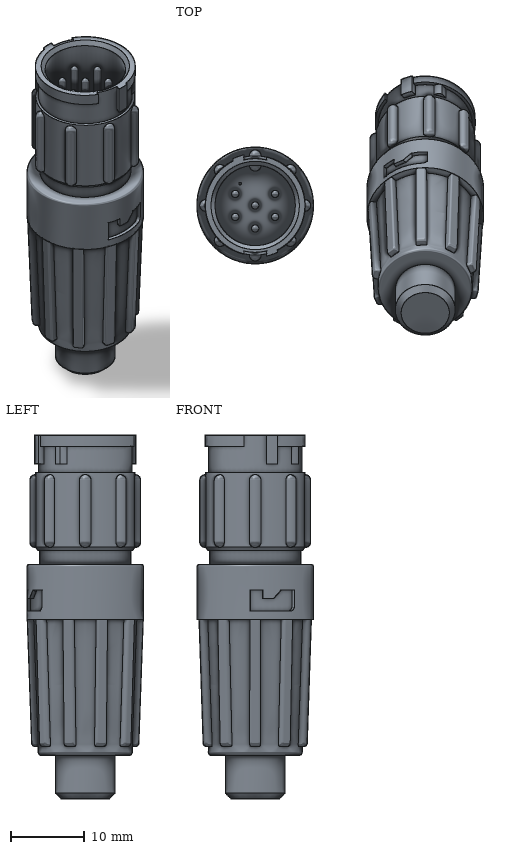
import cadquery as cq
import math

total_height = 49.8
cable_stem_top = 5.95
strain_sleeve_top = 24.55
collar_top = 32.1
barrel_bottom = 34.0
barrel_top = 44.7
flange_thickness = 1.55

cable_stem_radius = 4.1
cable_stem_chamfer = 0.8
sleeve_bottom_radius = 6.43
sleeve_top_radius = 7.1
sleeve_fillet = 0.45
collar_radius = 8.0
collar_fillet = 0.35
neck_radius = 6.25
barrel_radius = 6.8
barrel_chamfer_width = 0.3
barrel_chamfer_height = 0.45
tube_radius = 6.42
flange_radius = 6.85

bore_radius = 5.5
bore_depth = 9.0
bore_chamfer = 0.55
pin_radius = 0.5
pin_top_depth = 2.15
pin_circle_radius = 3.15
pin_circle_positions = 6
pin_root_length = 1.0
key_rod_radius = 0.8
key_rod_top_depth = 0.7
marker_hole_radius = 0.18
marker_hole_depth = 0.5
marker_hole_x = -2.06
marker_hole_y = 3.0

notch_half_width = 1.55
stop_width = 1.5
stop_radius = 7.1
stop_length = 3.95
side_lug_x = 5.9
side_lug_near_y = 2.4
side_lug_start = (4.95, 4.05)
side_lug_crest = (5.5, 3.84)
side_lug_end_y = 3.45

barrel_rib_count = 8
barrel_rib_radius = 0.8
barrel_rib_bottom = 34.4
barrel_rib_top = 44.4

sleeve_rib_count = 10
sleeve_rib_root_width = 1.58
sleeve_rib_outer_width = 1.4
sleeve_rib_bottom = 7.15
sleeve_rib_bottom_radius = 7.35
sleeve_rib_top_radius = 7.95
sleeve_rib_root_radius = 5.5
sleeve_rib_fillet = 0.3
sleeve_rib_end_radius = 0.5

recess_floor_radius = 7.5
recess_bottom = 25.7
recess_middle = 27.4
recess_top = 28.6
recess_left_x = -0.68
left_arm_right_x = 1.1
slope_bottom_x = 2.5
slope_top_x = 3.6
recess_right_x = 5.4
recess_corner_radius = 0.8

flange_bottom = total_height - flange_thickness
stop_bottom = total_height - stop_length
bore_floor = total_height - bore_depth
pin_bottom = bore_floor - pin_root_length
recess_tool_radius = collar_radius + 1.0
half_turns = (0, 180)


def at_axis_angle(shape, angle):
    return shape.rotate((0, 0, 0), (0, 0, 1), angle)


def cylinder(radius, bottom, top, x=0, y=0):
    return cq.Workplane("XY", origin=(x, y, bottom)).circle(radius).extrude(top - bottom)


def block(x_min, x_max, y_min, y_max, z_min, z_max):
    size = (x_max - x_min, y_max - y_min, z_max - z_min)
    return cq.Workplane("XY").box(*size, centered=False).translate((x_min, y_min, z_min))


def domed_rod(radius, bottom, top, x, y):
    """Upright rod whose top is a half sphere reaching the given height."""
    dome_center = top - radius
    dome = cq.Workplane("XY").sphere(radius).translate((x, y, dome_center))
    return cylinder(radius, bottom, dome_center, x, y).union(dome)


def make_cable_end():
    stem = cylinder(cable_stem_radius, 0, cable_stem_top).faces("<Z").chamfer(cable_stem_chamfer)
    sleeve = (
        cq.Workplane("XZ")
        .moveTo(0, cable_stem_top)
        .lineTo(sleeve_bottom_radius, cable_stem_top)
        .lineTo(sleeve_top_radius, strain_sleeve_top)
        .lineTo(0, strain_sleeve_top)
        .close()
        .revolve(360, (0, 0, 0), (0, 1, 0))
    )
    sleeve = sleeve.faces("<Z").edges().fillet(sleeve_fillet)
    return stem.union(sleeve)


def make_sleeve_rib():
    """Rib on the +X side; its outer face leans in toward the cable end."""
    end_round_top = sleeve_rib_bottom + sleeve_rib_end_radius
    side_shape = (
        cq.Workplane("XZ")
        .moveTo(sleeve_rib_root_radius, sleeve_rib_bottom)
        .lineTo(sleeve_rib_bottom_radius - sleeve_rib_end_radius, sleeve_rib_bottom)
        .radiusArc((sleeve_rib_bottom_radius, end_round_top), -sleeve_rib_end_radius)
        .lineTo(sleeve_rib_top_radius, strain_sleeve_top)
        .lineTo(sleeve_rib_root_radius, strain_sleeve_top)
        .close()
        .extrude(sleeve_rib_root_width / 2, both=True)
    )
    drafted_section = (
        cq.Workplane("XY", origin=(0, 0, sleeve_rib_bottom))
        .moveTo(sleeve_rib_root_radius, -sleeve_rib_root_width / 2)
        .lineTo(sleeve_rib_top_radius, -sleeve_rib_outer_width / 2)
        .lineTo(sleeve_rib_top_radius, sleeve_rib_outer_width / 2)
        .lineTo(sleeve_rib_root_radius, sleeve_rib_root_width / 2)
        .close()
        .extrude(strain_sleeve_top - sleeve_rib_bottom)
    )
    rib = side_shape.intersect(drafted_section)
    flank_edges = rib.faces("<Y or >Y").edges("not (<X or >Z)")
    return flank_edges.fillet(sleeve_rib_fillet)


def recess_angle(x):
    return math.degrees(math.asin(x / collar_radius))


def ring_sector(x_start, x_end, bottom, top):
    """Ring piece cut into the collar skin on the -Y side, between two surface X places."""
    start = recess_angle(x_start)
    sweep = recess_angle(x_end) - start
    sector = (
        cq.Workplane("XZ")
        .moveTo(recess_floor_radius, bottom)
        .lineTo(recess_tool_radius, bottom)
        .lineTo(recess_tool_radius, top)
        .lineTo(recess_floor_radius, top)
        .close()
        .revolve(sweep, (0, 0, 0), (0, 1, 0))
    )
    return at_axis_angle(sector, start - 90)


def make_collar_recess():
    body = ring_sector(recess_left_x, recess_right_x, recess_bottom, recess_middle)
    left_arm = ring_sector(recess_left_x, left_arm_right_x, recess_middle, recess_top)
    right_arm = ring_sector(slope_top_x, recess_right_x, recess_middle, recess_top)
    slope = (
        cq.Workplane("XZ")
        .moveTo(slope_bottom_x, recess_middle)
        .lineTo(slope_top_x, recess_middle)
        .lineTo(slope_top_x, recess_top)
        .close()
        .extrude(recess_tool_radius)
        .cut(cylinder(recess_floor_radius, recess_bottom, recess_top))
    )
    recess = body.union(right_arm).clean()
    recess = recess.faces("<Z").edges(">X").fillet(recess_corner_radius)
    return recess.union(left_arm).union(slope)


def make_collar():
    collar = cylinder(collar_radius, strain_sleeve_top, collar_top)
    collar = collar.faces(">Z").edges().fillet(collar_fillet)
    recess = make_collar_recess()
    for angle in half_turns:
        collar = collar.cut(at_axis_angle(recess, angle))
    return collar


def make_barrel():
    neck = cylinder(neck_radius, collar_top, barrel_bottom)
    barrel = cylinder(barrel_radius, barrel_bottom, barrel_top)
    barrel = barrel.faces("<Z").chamfer(barrel_chamfer_height, barrel_chamfer_width)
    return neck.union(barrel)


def make_barrel_rib():
    """Half-sunk round rib on the +X side with a spherical end at the top and bottom."""
    rod_bottom = barrel_rib_bottom + barrel_rib_radius
    rod = domed_rod(barrel_rib_radius, rod_bottom, barrel_rib_top, barrel_radius, 0)
    lower_dome = cq.Workplane("XY").sphere(barrel_rib_radius).translate((barrel_radius, 0, rod_bottom))
    rib = rod.union(lower_dome)
    return rib.cut(cylinder(tube_radius, barrel_rib_bottom, barrel_rib_top))


def make_side_lug():
    """Small lug under the flange, rising from the tube in a rounded ramp on its -Y side."""
    start_x, start_y = side_lug_start
    crest_x, crest_y = side_lug_crest
    return (
        cq.Workplane("XY", origin=(0, 0, stop_bottom))
        .moveTo(start_x, -side_lug_near_y)
        .lineTo(start_x, -start_y)
        .threePointArc((crest_x, -crest_y), (side_lug_x, -side_lug_end_y))
        .lineTo(side_lug_x, -side_lug_near_y)
        .close()
        .extrude(flange_bottom - stop_bottom)
    )


def make_coupling_tube():
    tube = cylinder(tube_radius, barrel_top, total_height)
    flange = cylinder(flange_radius, flange_bottom, total_height)
    notch = block(
        -notch_half_width, notch_half_width, -stop_radius, stop_radius, flange_bottom, total_height
    )
    tube = tube.union(flange.cut(notch))
    stop = block(
        notch_half_width, notch_half_width + stop_width, -stop_radius, 0, stop_bottom, total_height
    )
    stop = stop.intersect(cylinder(stop_radius, stop_bottom, total_height))
    side_lug = make_side_lug()
    for angle in half_turns:
        tube = tube.union(at_axis_angle(stop, angle))
        tube = tube.union(at_axis_angle(side_lug, angle))
    return tube


def cut_socket(body):
    bore = cylinder(bore_radius, bore_floor, total_height)
    lead_in = (
        cq.Workplane("XY", origin=(0, 0, total_height - bore_chamfer))
        .circle(bore_radius)
        .workplane(offset=bore_chamfer)
        .circle(bore_radius + bore_chamfer)
        .loft()
    )
    marker_bottom = bore_floor - marker_hole_depth
    marker = cylinder(marker_hole_radius, marker_bottom, bore_floor, marker_hole_x, marker_hole_y)
    return body.cut(bore).cut(lead_in).cut(marker)


def pin_places():
    """One pin on the axis and five on a hexagon whose +Y corner is left free for the key."""
    places = [(0, 0)]
    for step in range(1, pin_circle_positions):
        angle = math.radians(90 + step * 360 / pin_circle_positions)
        places.append((pin_circle_radius * math.cos(angle), pin_circle_radius * math.sin(angle)))
    return places


result = make_cable_end().union(make_collar()).union(make_barrel()).union(make_coupling_tube())

sleeve_rib = make_sleeve_rib()
for index in range(sleeve_rib_count):
    result = result.union(at_axis_angle(sleeve_rib, index * 360 / sleeve_rib_count - 90))

barrel_rib = make_barrel_rib()
for index in range(barrel_rib_count):
    result = result.union(at_axis_angle(barrel_rib, index * 360 / barrel_rib_count))

result = cut_socket(result)
for x, y in pin_places():
    result = result.union(domed_rod(pin_radius, pin_bottom, total_height - pin_top_depth, x, y))
result = result.union(
    domed_rod(key_rod_radius, pin_bottom, total_height - key_rod_top_depth, 0, bore_radius)
)